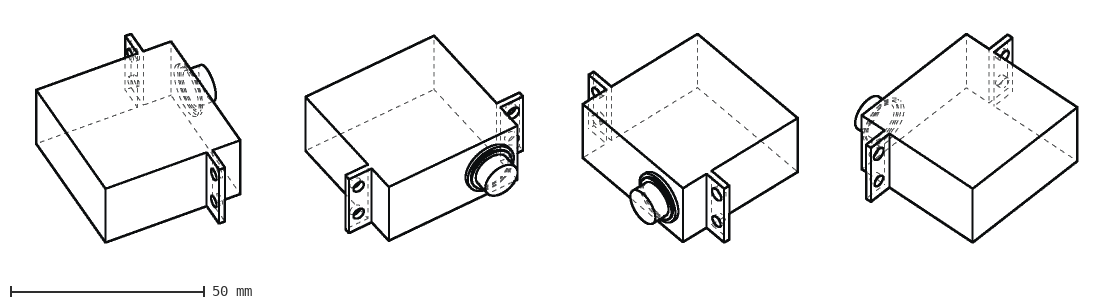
import cadquery as cq

overall_length = 54.0
case_length = 39.9
case_depth = 39.0
case_height = 20.0

tab_setback = 8.0
tab_thickness = 1.75

hole_diameter = 3.2
large_hole_diameter = 3.6
hole_edge_distance = 3.0
hole_spacing = 10.0
hole_pair_offset = 0.5

shaft_inset = 8.95
shaft_diameter = 10.0
shaft_length = 6.0
collar_diameter = 14.3
collar_length = 1.0
step_diameter = 12.3
step_end = 1.5

shaft_x = shaft_inset - case_length / 2
hole_x = overall_length / 2 - hole_edge_distance
upper_hole_z = hole_pair_offset + hole_spacing / 2
lower_hole_z = hole_pair_offset - hole_spacing / 2


def block(length, depth, front_y):
    """Full-height block extending toward -Y from front_y."""
    solid = cq.Workplane("XY").box(length, depth, case_height)
    return solid.translate((0, front_y - depth / 2, 0))


def cylinder_along_y(diameter, length, x, y, z):
    """Cylinder extending toward +Y from (x, y, z)."""
    solid = cq.Solid.makeCylinder(diameter / 2, length, cq.Vector(x, y, z), cq.Vector(0, 1, 0))
    return cq.Workplane(obj=solid)


result = block(case_length, case_depth, 0)
result = result.union(block(overall_length, tab_thickness, -tab_setback))

for diameter, length in (
    (collar_diameter, collar_length),
    (step_diameter, step_end),
    (shaft_diameter, shaft_length),
):
    result = result.union(cylinder_along_y(diameter, length, shaft_x, 0, 0))

tab_back_y = -tab_setback - tab_thickness
for x, z, diameter in (
    (-hole_x, upper_hole_z, large_hole_diameter),
    (-hole_x, lower_hole_z, hole_diameter),
    (hole_x, upper_hole_z, hole_diameter),
    (hole_x, lower_hole_z, hole_diameter),
):
    result = result.cut(cylinder_along_y(diameter, tab_thickness, x, tab_back_y, z))